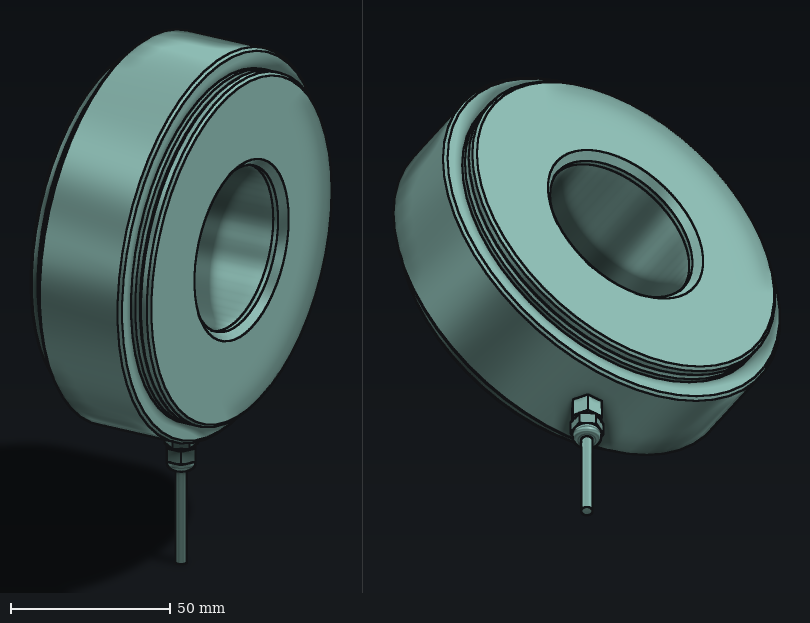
import cadquery as cq
import math

total_width = 44.0
total_height = 174.5
flange_diameter = 127.0
flange_width = 30.4
plate_diameter = 114.0
plate_thickness = 4.2
bore_diameter = 53.5
bore_chamfer = 2.5
edge_chamfer = 1.0

hex_across_flats = 9.0
upper_hex_end = -70.5
neck_diameter = 8.0
neck_height = 0.7
nut_height = 4.5
collar_diameter = 9.0
collar_height = 3.1
collar_fillet = 1.7
cable_diameter = 3.7

flange_radius = flange_diameter / 2
plate_radius = plate_diameter / 2
bore_radius = bore_diameter / 2
hex_across_corners = hex_across_flats / math.cos(math.radians(30))
core_half_width = total_width / 2 - plate_thickness
neck_end = upper_hex_end - neck_height
nut_end = neck_end - nut_height
gland_end = nut_end - collar_height
cable_end = flange_radius - total_height


def revolve_about_x(points):
    """Revolve a closed (x, radius) outline about the X axis."""
    return cq.Workplane("XY").polyline(points).close().revolve(360, (0, 0, 0), (1, 0, 0))


def make_housing():
    """Flange with a boss on each side, every outer edge chamfered."""
    half_flange = flange_width / 2
    right_side = [
        (half_flange - edge_chamfer, flange_radius),
        (half_flange, flange_radius - edge_chamfer),
        (half_flange, plate_radius),
        (core_half_width - edge_chamfer, plate_radius),
        (core_half_width, plate_radius - edge_chamfer),
        (core_half_width, bore_radius),
    ]
    left_side = [(-x, radius) for x, radius in reversed(right_side)]
    return revolve_about_x(right_side + left_side)


def make_plate(side):
    """Load plate on the +X (side = 1) or -X (side = -1) face of the housing."""
    inner_x = side * core_half_width
    outer_x = side * total_width / 2
    return revolve_about_x([
        (inner_x, bore_radius),
        (inner_x, plate_radius - edge_chamfer),
        (inner_x + side * edge_chamfer, plate_radius),
        (outer_x - side * edge_chamfer, plate_radius),
        (outer_x, plate_radius - edge_chamfer),
        (outer_x, bore_radius + bore_chamfer),
        (outer_x - side * bore_chamfer, bore_radius),
    ])


def make_cylinder(diameter, top, bottom):
    """Vertical cylinder on the Z axis."""
    return cq.Workplane("XY").workplane(offset=bottom).circle(diameter / 2).extrude(top - bottom)


def make_hexagon(top, bottom, turn):
    """Vertical hexagonal prism; at turn = 0 its corners point along X."""
    base = cq.Workplane("XY").workplane(offset=bottom)
    prism = base.polygon(6, hex_across_corners).extrude(top - bottom)
    return prism.rotate((0, 0, 0), (0, 0, 1), turn)


def make_gland():
    """Cable gland whose top is shaped to sit on the round flange."""
    hex_start = -flange_radius + hex_across_corners / 2
    upper_hex = make_hexagon(hex_start, upper_hex_end, 30)
    flange_cylinder = cq.Workplane("YZ").circle(flange_radius).extrude(flange_width / 2, both=True)
    neck = make_cylinder(neck_diameter, upper_hex_end, neck_end)
    nut = make_hexagon(neck_end, nut_end, 0)
    collar = make_cylinder(collar_diameter, nut_end, gland_end)
    collar = collar.faces("<Z").edges().fillet(collar_fillet)
    cable_hole = make_cylinder(cable_diameter, -flange_radius, gland_end)
    body = upper_hex.cut(flange_cylinder).union(neck).union(nut).union(collar)
    return body.cut(cable_hole)


def make_cable():
    """Cable running through the gland up to the flange."""
    return make_cylinder(cable_diameter, -flange_radius, cable_end)


housing = make_housing()
plates = [make_plate(side) for side in (-1, 1)]
gland = make_gland()
cable = make_cable()

result = cq.Compound.makeCompound([
    housing.val(),
    *[plate.val() for plate in plates],
    gland.val(),
    cable.val(),
])